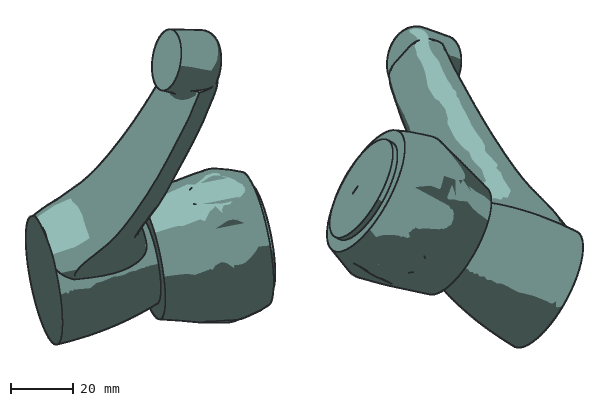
import cadquery as cq
import math

BODY_PROFILE = [(21.0, 0), (20.4, 8.7), (18.4, 21.0), (16.0, 29.9), (14.4, 34.8)]

KNOB_START = BODY_PROFILE[-1][1]
KNOB_END = 70.3
KNOB_START_RADIUS = 19.5
KNOB_END_RADIUS = 21.9
KNOB_RIDGE_Y = 59.0
KNOB_RIDGE_RADIUS = 26.1
RIDGE_ROUNDING = 7.1
END_MARGIN = 1.2
GRIP_COUNT = 8
GRIP_RADIUS = 16.6
GRIP_FLOOR_RADIUS = 23.0
GRIP_ROUNDING = 1.5

CAP_RADIUS = 17.7
CAP_RIM_Y = 72.1
CAP_CROWN_Y = 73.5
CAP_SAGITTA = (CAP_CROWN_Y - CAP_RIM_Y) / 4

SPOUT_SECTIONS = [
    ((-5.9, 9.5), (36.8, 9.5)),
    ((-0.6, 20.7), (31.8, 16.0)),
    ((10.9, 25.7), (31.8, 24.0)),
    ((16.7, 31.0), (35.6, 29.9)),
    ((25.2, 42.4), (40.7, 38.8)),
    ((33.5, 56.3), (47.7, 53.5)),
    ((39.4, 67.2), (53.1, 66.5)),
    ((42.2, 73.0), (55.7, 73.6)),
    ((45.1, 79.0), (56.3, 79.8)),
]
SPOUT_TIP_HALF_WIDTH = 11.5
SPOUT_TIP_Z = 82.0
SPOUT_SIDE_SLOPE = 0.066

SPOUT_WIDEST_FRACTION = 0.3
TRIM_SIZE = 118.8

OUTLET_LOWER = (36.9, 76.0)
OUTLET_UPPER = (44.9, 94.2)
NOZZLE_DEPTH = 15.7
NOZZLE_BACK_RADIUS = 11.5
NOZZLE_ROUNDING = 4.2
THROAT = (0, 43.3, 74.8)
THROAT_ROUNDING = 2.1


def make_body():
    outline = cq.Workplane("XY").moveTo(*BODY_PROFILE[0]).spline(BODY_PROFILE[1:], includeCurrent=True)
    outline = outline.lineTo(0, KNOB_START).lineTo(0, 0).close()
    return outline.revolve(360, (0, 0), (0, 1))


def make_knob():
    outline = (
        cq.Workplane("XY")
        .moveTo(0, KNOB_START)
        .lineTo(KNOB_START_RADIUS, KNOB_START)
        .lineTo(KNOB_RIDGE_RADIUS, KNOB_RIDGE_Y)
        .lineTo(KNOB_END_RADIUS, KNOB_END)
        .lineTo(0, KNOB_END)
        .close()
    )
    knob = outline.revolve(360, (0, 0), (0, 1))
    ridge_zone = cq.selectors.BoxSelector(
        (-KNOB_RIDGE_RADIUS, KNOB_START + END_MARGIN, -KNOB_RIDGE_RADIUS),
        (KNOB_RIDGE_RADIUS, KNOB_END - END_MARGIN, KNOB_RIDGE_RADIUS),
    )
    knob = knob.edges("%CIRCLE").edges(ridge_zone).fillet(RIDGE_ROUNDING)
    cutter_distance = GRIP_FLOOR_RADIUS + GRIP_RADIUS
    for index in range(GRIP_COUNT):
        angle = 2 * math.pi * index / GRIP_COUNT
        cutter = (
            cq.Workplane("XZ", origin=(0, KNOB_START, 0))
            .center(cutter_distance * math.cos(angle), cutter_distance * math.sin(angle))
            .circle(GRIP_RADIUS)
            .extrude(KNOB_START - KNOB_END)
        )
        knob = knob.cut(cutter)
    rims = knob.faces("%CYLINDER").edges()
    return rims.fillet(GRIP_ROUNDING)


def make_cap():
    outline = (
        cq.Workplane("XY")
        .moveTo(0, CAP_CROWN_Y)
        .sagittaArc((CAP_RADIUS, CAP_RIM_Y), CAP_SAGITTA)
        .lineTo(CAP_RADIUS, KNOB_END)
        .lineTo(0, KNOB_END)
        .close()
    )
    return outline.revolve(360, (0, 0), (0, 1))


def spout_section(front, back):
    """Closed section: a shallow arc at the front and a deep rounded back."""
    front_point = cq.Vector(0, *front)
    back_point = cq.Vector(0, *back)
    depth = back_point - front_point
    middle_z = (front_point.z + back_point.z) / 2
    half_width = SPOUT_TIP_HALF_WIDTH + SPOUT_SIDE_SLOPE * (SPOUT_TIP_Z - middle_z)
    side = cq.Vector(half_width, 0, 0)
    widest = front_point + depth * SPOUT_WIDEST_FRACTION
    left = widest - side
    right = widest + side
    front_edge = cq.Edge.makeThreePointArc(left, front_point, right)
    back_edge = cq.Edge.makeSpline(
        [right, back_point, left], tangents=[depth, side * -1, depth * -1]
    )
    return cq.Wire.assembleEdges([front_edge, back_edge])


def make_spout():
    sections = [spout_section(front, back) for front, back in SPOUT_SECTIONS]
    spout = cq.Workplane(cq.Solid.makeLoft(sections))
    trim = cq.Workplane("XY").box(TRIM_SIZE, TRIM_SIZE, TRIM_SIZE).translate((0, -TRIM_SIZE / 2, 0))
    return spout.cut(trim)


def make_nozzle():
    lower = cq.Vector(0, *OUTLET_LOWER)
    upper = cq.Vector(0, *OUTLET_UPPER)
    outlet_radius = (upper - lower).Length / 2
    inward = (upper - lower).cross(cq.Vector(1, 0, 0))
    cone = cq.Solid.makeCone(
        outlet_radius, NOZZLE_BACK_RADIUS, NOZZLE_DEPTH, (lower + upper) / 2, inward
    )
    return cq.Workplane(cone).edges(">Y").fillet(NOZZLE_ROUNDING)


def make_arm():
    arm = make_spout().union(make_nozzle())
    throat_edge = arm.edges(cq.selectors.NearestToPointSelector(THROAT))
    return throat_edge.fillet(THROAT_ROUNDING)


result = make_body().union(make_knob()).union(make_cap()).union(make_arm())